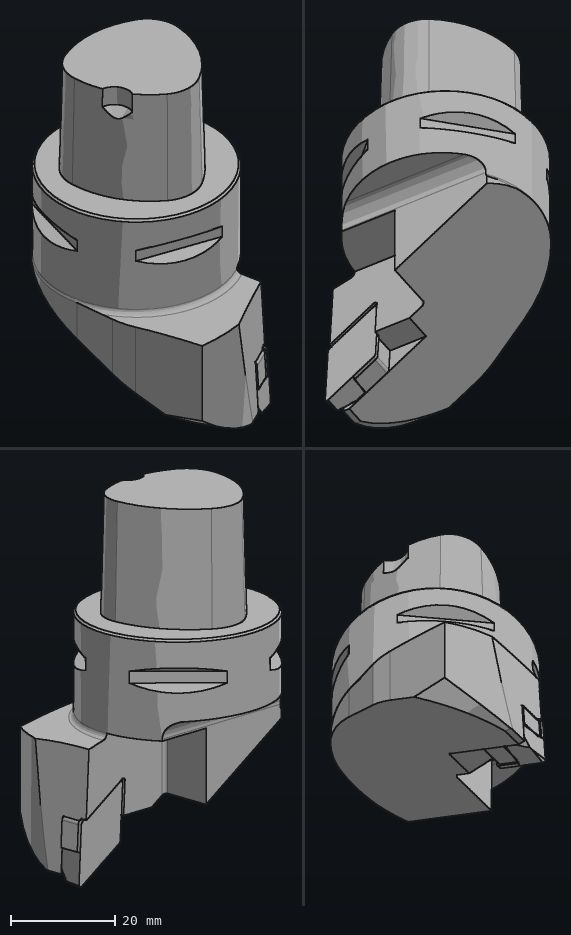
import cadquery as cq
import math


TOTAL_WIDTH = 47.0
TOTAL_DEPTH = 42.5
TOTAL_LENGTH = 74.0

SHANK_LENGTH = 24.0
SHANK_TAPER = math.degrees(math.atan(1 / 40))
FLAT_REACH = 12.95
FLAT_RADIUS = 21.7
LOBE_REACH = 15.0
NOTCH_RADIUS = 3.6
NOTCH_DEPTH = 4.1
NOTCH_Y = -14.2

FLANGE_RADIUS = 40.0 / 2
FLANGE_HEIGHT = 20.35
FLANGE_CHAMFER = 0.45
SLOT_Z = -8.15
SLOT_FLOOR = 17.7
SLOT_FLOOR_HEIGHT = 2.4
SLOT_FLANK_ANGLE = 30.0
SLOT_COUNT = 4

TIP_Z = SHANK_LENGTH - TOTAL_LENGTH
TIP_X = TOTAL_WIDTH - FLANGE_RADIUS
HEAD_RADIUS = 20.2
HEAD_FRONT_Y = FLANGE_RADIUS - TOTAL_DEPTH
HEAD_FACE_Y = 0.7
SHOULDER_SLOPE = 0.25
SHOULDER_Z = -21.3
TANGENT_X = -5.9
BEND_RADIUS = 16.3
FRONT_CORNER_X = 20.3
SIDE_BULGE = (23.5, -17.0)
SIDE_END = (26.4, -8.15)
SIDE_LEAN = 3.0
SIDE_TOP_X = 24.9
SIDE_TOP_Z = -22.6
UNDERSIDE_ANGLE = 32.0
UNDERSIDE_Z = -20.6
HEAD_BOTTOM_Z = -48.6
NOSE_START = (-22.5, -41.0)
NOSE_BULGE = (-16.5, -45.7)
NOSE_END = (-9.7, HEAD_BOTTOM_Z)

BACK_FLAT_Y = 11.85
BACK_EDGE_Z = -16.05
BACK_CORNER_Z = -16.65
BACK_FILLET = 3.5
CHIP_WALL_X = 4.2
CHIP_WALL_FILLET = 0.75
SEAT_TOP_Z = -37.9

INSERT_TOP_Y = 0.1
INSERT_THICKNESS = 5.55
INSERT_BOTTOM_Y = INSERT_TOP_Y - INSERT_THICKNESS
INSERT_CORNER = 0.45
INSERT_BACK_CORNER = 0.9
INSERT_EDGE = 12.3
NOSE_CENTRE = (TIP_X - INSERT_CORNER, TIP_Z + INSERT_CORNER)
PLATE_THICKNESS = 0.8
CORE_INSET = 0.4
NOSE_LENGTH = 5.6
NOSE_RELIEF = 7.0
BEVEL_DEPTH = 1.25
BEVEL_HEIGHT = 1.85

CLEAR = 74.0


def polar(radius, degrees):
    """Point in a plane at a radius and an angle."""
    angle = math.radians(degrees)
    return (radius * math.cos(angle), radius * math.sin(angle))


def box(x_range, y_range, z_range):
    """Box between two limits on each axis."""
    spans = [high - low for low, high in (x_range, y_range, z_range)]
    corner = (x_range[0], y_range[0], z_range[0])
    return cq.Workplane("XY").box(*spans, centered=False).translate(corner)


def make_shank():
    """Three shallow arcs joined by three tangent lobe arcs, tapering upwards."""
    offset = FLAT_RADIUS - FLAT_REACH
    gap = FLAT_RADIUS - LOBE_REACH
    lobe_centre = (offset**2 - gap**2) / (2 * gap - offset)
    lobe_radius = LOBE_REACH - lobe_centre
    lobe_x, lobe_y = polar(lobe_centre, -30)
    normal = math.degrees(math.atan2(lobe_y - offset, lobe_x))
    reach_x, reach_y = polar(lobe_radius, normal)
    join_x, join_y = lobe_x + reach_x, lobe_y + reach_y
    join_radius = math.hypot(join_x, join_y)
    join_angle = math.degrees(math.atan2(join_y, join_x))

    outline = cq.Workplane("XY").moveTo(*polar(join_radius, join_angle))
    for turn in (0, 120, 240):
        outline = outline.threePointArc(
            polar(LOBE_REACH, turn - 30), polar(join_radius, turn - 60 - join_angle)
        )
        outline = outline.threePointArc(
            polar(FLAT_REACH, turn + 30), polar(join_radius, turn + 120 + join_angle)
        )
    shank = outline.close().extrude(SHANK_LENGTH, taper=SHANK_TAPER)

    cone_z = SHANK_LENGTH - NOTCH_DEPTH
    notch = (
        cq.Workplane("XZ", origin=(0, NOTCH_Y, 0))
        .moveTo(0, cone_z - NOTCH_RADIUS)
        .lineTo(NOTCH_RADIUS, cone_z)
        .lineTo(NOTCH_RADIUS, CLEAR)
        .lineTo(0, CLEAR)
        .close()
        .revolve(360, (0, 0, 0), (0, 1, 0))
    )
    return shank.cut(notch)


def make_flange():
    """Round flange with gripper slots on its diagonals."""
    flange = cq.Workplane("XY").circle(FLANGE_RADIUS).extrude(-FLANGE_HEIGHT)
    flange = flange.faces(">Z").chamfer(FLANGE_CHAMFER)
    depth = FLANGE_RADIUS - SLOT_FLOOR
    floor_half = SLOT_FLOOR_HEIGHT / 2
    mouth_half = floor_half + depth * math.tan(math.radians(SLOT_FLANK_ANGLE))
    slot = (
        cq.Workplane("XZ")
        .polyline([
            (SLOT_FLOOR, SLOT_Z - floor_half),
            (FLANGE_RADIUS, SLOT_Z - mouth_half),
            (FLANGE_RADIUS, SLOT_Z + mouth_half),
            (SLOT_FLOOR, SLOT_Z + floor_half),
        ])
        .close()
        .extrude(FLANGE_RADIUS, both=True)
    )
    for index in range(SLOT_COUNT):
        flange = flange.cut(slot.rotate((0, 0, 0), (0, 0, 1), 45 + index * 360 / SLOT_COUNT))
    return flange


def make_head_prism():
    """Plan outline of the head: a round part widened towards +X and -Y."""
    tangent_y = -math.sqrt(HEAD_RADIUS**2 - TANGENT_X**2)
    turn = math.atan2(-TANGENT_X, -tangent_y)
    bend_start_y = HEAD_FRONT_Y + BEND_RADIUS * (1 - math.cos(turn))
    bend_start_x = TANGENT_X + (tangent_y - bend_start_y) / math.tan(turn)
    bend_centre_x = bend_start_x + BEND_RADIUS * math.sin(turn)
    bend_middle = (
        bend_centre_x - BEND_RADIUS * math.sin(turn / 2),
        HEAD_FRONT_Y + BEND_RADIUS * (1 - math.cos(turn / 2)),
    )
    wing = (
        cq.Workplane("XY")
        .moveTo(0, HEAD_FACE_Y)
        .lineTo(TANGENT_X, tangent_y)
        .lineTo(bend_start_x, bend_start_y)
        .threePointArc(bend_middle, (bend_centre_x, HEAD_FRONT_Y))
        .lineTo(FRONT_CORNER_X, HEAD_FRONT_Y)
        .threePointArc(SIDE_BULGE, SIDE_END)
        .lineTo(SIDE_END[0], HEAD_FACE_Y)
        .close()
        .extrude(HEAD_BOTTOM_Z)
    )
    return cq.Workplane("XY").circle(HEAD_RADIUS).extrude(HEAD_BOTTOM_Z).union(wing)


def make_shoulder_envelope():
    """Space below the conical shoulder, with a fillet that starts at the flange's lower edge."""
    half_angle = (math.pi / 2 + math.atan(SHOULDER_SLOPE)) / 2
    tangent = -FLANGE_HEIGHT - SHOULDER_Z
    fillet_radius = tangent * math.tan(half_angle)
    slope_angle = math.atan(SHOULDER_SLOPE)
    fillet_top = (FLANGE_RADIUS, -FLANGE_HEIGHT)
    fillet_end = (
        FLANGE_RADIUS + tangent * math.cos(slope_angle),
        SHOULDER_Z - tangent * math.sin(slope_angle),
    )
    far_radius = FLANGE_RADIUS + CLEAR
    return (
        cq.Workplane("XZ")
        .moveTo(0, -FLANGE_HEIGHT)
        .lineTo(*fillet_top)
        .radiusArc(fillet_end, -fillet_radius)
        .lineTo(far_radius, SHOULDER_Z - SHOULDER_SLOPE * CLEAR)
        .lineTo(far_radius, -2 * CLEAR)
        .lineTo(0, -2 * CLEAR)
        .close()
        .revolve(360, (0, 0, 0), (0, 1, 0))
    )


def make_head():
    """Head with its shoulder, sloping underside, leaning side and rounded nose."""
    head = make_head_prism().intersect(make_shoulder_envelope())

    underside_drop = math.tan(math.radians(UNDERSIDE_ANGLE)) * CLEAR
    side_run = math.tan(math.radians(SIDE_LEAN)) * CLEAR
    side_profile = (
        cq.Workplane("XZ")
        .polyline([
            (-FLANGE_RADIUS, UNDERSIDE_Z),
            (-FLANGE_RADIUS, 0),
            (SIDE_TOP_X + side_run * SIDE_TOP_Z / CLEAR, 0),
            (SIDE_TOP_X + side_run, SIDE_TOP_Z - CLEAR),
            (CLEAR - FLANGE_RADIUS, UNDERSIDE_Z - underside_drop),
        ])
        .close()
        .extrude(CLEAR, both=True)
    )
    nose_relief = (
        cq.Workplane("YZ")
        .moveTo(*NOSE_START)
        .threePointArc(NOSE_BULGE, NOSE_END)
        .lineTo(NOSE_START[0], HEAD_BOTTOM_Z)
        .close()
        .extrude(CLEAR, both=True)
    )
    return head.intersect(side_profile).cut(nose_relief)


def make_back_recess():
    """Flat at the back of the head, rounded into the ceiling below the flange."""
    return (
        cq.Workplane("YZ")
        .polyline([
            (BACK_FLAT_Y, -CLEAR),
            (BACK_FLAT_Y, BACK_CORNER_Z),
            (HEAD_RADIUS, BACK_EDGE_Z),
            (HEAD_RADIUS, -CLEAR),
        ])
        .close()
        .extrude(CLEAR, both=True)
        .edges("|X").edges("<Y").edges(">Z")
        .fillet(BACK_FILLET)
    )


def make_chip_pocket():
    """Open space above the flat face of the head, beside the insert."""
    pocket = box((CHIP_WALL_X, CLEAR), (HEAD_FACE_Y, CLEAR), (-CLEAR, -FLANGE_HEIGHT))
    return pocket.edges("|Z").edges("<X").edges("<Y").fillet(CHIP_WALL_FILLET)


def insert_outline(corner_radius=INSERT_CORNER, inset=0):
    """Rhombus with rounded corners, moved in by an inset, on the top plane of the insert."""
    centre_inset = corner_radius + inset - INSERT_CORNER
    side_x, side_z = polar(INSERT_EDGE, 90 + SIDE_LEAN)
    low_x, low_z = polar(INSERT_EDGE, 180 - UNDERSIDE_ANGLE)
    corner_centres = (
        cq.Workplane("XZ", origin=(0, INSERT_TOP_Y, 0))
        .moveTo(*NOSE_CENTRE)
        .line(side_x, side_z)
        .line(low_x, low_z)
        .line(-side_x, -side_z)
        .close()
    )
    if centre_inset > 0:
        corner_centres = corner_centres.offset2D(-centre_inset, "intersection")
    return corner_centres.offset2D(corner_radius)


def make_nose_bevel(nose):
    """Wedge below the lower back edge of the nose."""
    low_z = nose.faces("<Y").val().BoundingBox().zmin
    inner_y = INSERT_BOTTOM_Y + BEVEL_DEPTH
    return (
        cq.Workplane("YZ")
        .polyline([
            (INSERT_BOTTOM_Y, low_z + BEVEL_HEIGHT),
            (inner_y, low_z),
            (inner_y, -CLEAR),
            (INSERT_BOTTOM_Y, -CLEAR),
        ])
        .close()
        .extrude(CLEAR, both=True)
    )


def make_insert():
    """Rhombic insert: an upper plate on a smaller core, with a relieved nose."""
    plate = insert_outline(INSERT_BACK_CORNER).extrude(PLATE_THICKNESS)
    core = insert_outline(INSERT_BACK_CORNER, CORE_INSET).extrude(INSERT_THICKNESS)
    nose = insert_outline().extrude(INSERT_THICKNESS, taper=NOSE_RELIEF)
    nose = nose.cut(make_nose_bevel(nose))

    diagonal_angle = (180 - UNDERSIDE_ANGLE + 90 + SIDE_LEAN) / 2
    behind_nose = (
        box((NOSE_LENGTH, CLEAR), (-CLEAR, CLEAR), (-CLEAR, CLEAR))
        .rotate((0, 0, 0), (0, 1, 0), -diagonal_angle)
        .translate((NOSE_CENTRE[0], 0, NOSE_CENTRE[1]))
    )
    body = plate.union(core).intersect(behind_nose)
    return body.union(nose.cut(behind_nose))


def make_holder(insert):
    """Shank, flange and head in one piece, with a seat matching the insert."""
    holder = make_shank().union(make_flange()).union(make_head())
    holder = holder.cut(make_back_recess()).cut(make_chip_pocket())
    open_seat = box((-CLEAR, CLEAR), (INSERT_BOTTOM_Y, HEAD_FACE_Y), (-CLEAR, SEAT_TOP_Z))
    above_insert = insert_outline().extrude(INSERT_TOP_Y - HEAD_FACE_Y)
    return holder.cut(open_seat).cut(above_insert).cut(insert)


insert = make_insert()
holder = make_holder(insert)

result = cq.Compound.makeCompound([*holder.solids().vals(), *insert.solids().vals()])